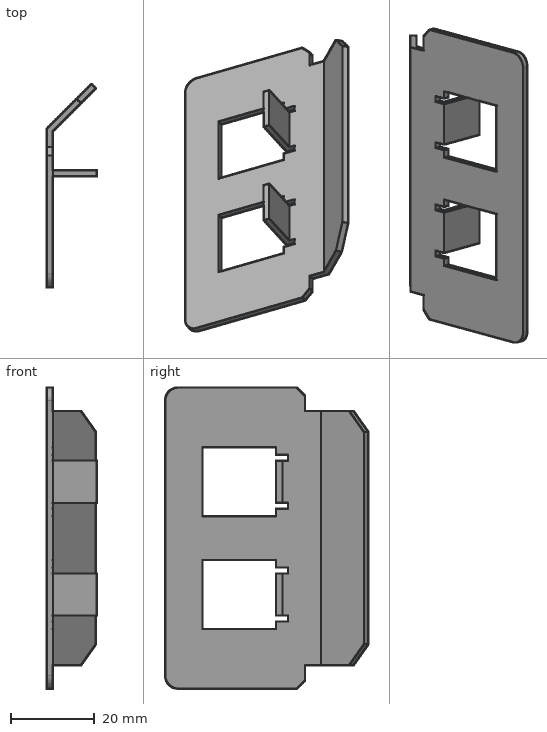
import cadquery as cq
import math

thickness = 1.5
plate_height = 72.0
plate_width = 33.5
corner_radius = 3.2
corner_chamfer = 2.0

flange_height = 60.8
bend_y = 37.9
bend_angle = 45.0
flange_end_y = 48.6
flange_chamfer = 5.05

window_pitch = 26.9
window_height = 16.4
window_start_y = 9.0
window_end_y = 26.5
notch_end_y = 29.4
notch_width = 1.4
tab_height = 10.1
tab_end_x = 12.0


def block(x_range, y_range, height, center_z=0.0):
    """Box spanning the given X and Y ranges, centred on center_z."""
    (x0, x1), (y0, y1) = x_range, y_range
    box = cq.Workplane("XY").box(x1 - x0, y1 - y0, height, centered=(False, False, True))
    return box.translate((x0, y0, center_z))


def make_plate():
    """Flat plate, rounded at the free edge and chamfered at the flange side."""
    plate = block((0, thickness), (0, plate_width), plate_height)
    plate = plate.edges("|X and <Y").fillet(corner_radius)
    return plate.edges("|X and >Y").chamfer(corner_chamfer)


def make_flange():
    """Strip that continues the plate, bends inward and has its end corners cut off."""
    angle = math.radians(bend_angle)
    run = flange_end_y - bend_y
    end_x = run * math.tan(angle)
    inner_bend_y = bend_y - thickness * math.tan(angle / 2)
    flange = (
        cq.Workplane("XY")
        .workplane(offset=-flange_height / 2)
        .moveTo(0, plate_width - corner_chamfer)
        .lineTo(0, bend_y)
        .lineTo(end_x, flange_end_y)
        .lineTo(end_x + thickness * math.cos(angle), flange_end_y - thickness * math.sin(angle))
        .lineTo(thickness, inner_bend_y)
        .lineTo(thickness, plate_width - corner_chamfer)
        .close()
        .extrude(flange_height)
    )
    across_sheet = cq.Vector(math.cos(angle), -math.sin(angle), 0)
    end_corners = flange.edges(cq.selectors.ParallelDirSelector(across_sheet))
    return end_corners.chamfer(flange_chamfer)


def make_window_cut(center_z):
    """Window opening with the two notches that free the tab."""
    sheet = (0, thickness)
    cut = block(sheet, (window_start_y, window_end_y), window_height, center_z)
    notch_offset = (tab_height + notch_width) / 2
    for side in (-1, 1):
        notch_z = center_z + side * notch_offset
        cut = cut.union(block(sheet, (window_end_y, notch_end_y), notch_width, notch_z))
    return cut


def make_tab(center_z):
    """Tab standing square to the plate at the window edge."""
    tab_start_y = window_end_y
    return block((0, tab_end_x), (tab_start_y, tab_start_y + thickness), tab_height, center_z)


result = make_plate().union(make_flange())
for window_z in (-window_pitch / 2, window_pitch / 2):
    result = result.cut(make_window_cut(window_z)).union(make_tab(window_z))